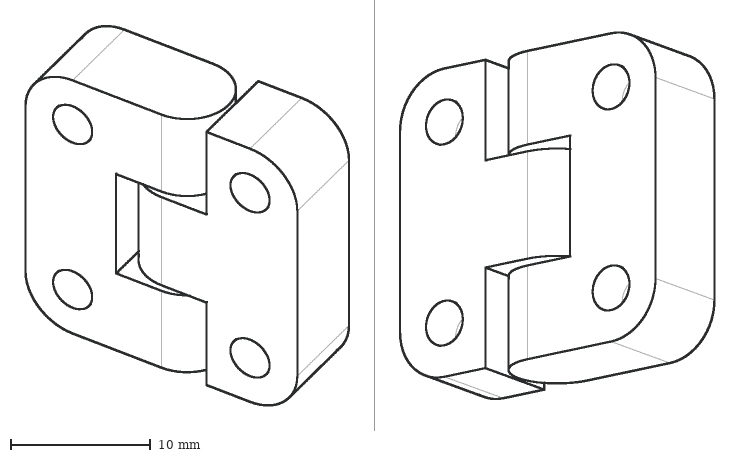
import cadquery as cq

SIZE = 23.0
THICKNESS = 7.0
CORNER_RADIUS = 4.0
KNUCKLE_RADIUS = THICKNESS / 2

HOLE_DIAMETER = 3.31
HOLE_OFFSET = SIZE / 2 - CORNER_RADIUS

CENTRE_KNUCKLE_HEIGHT = 8.0
AXIAL_GAP = 0.5
RADIAL_GAP = 0.32
PIN_DIAMETER = 3.0

SLOT_HEIGHT = CENTRE_KNUCKLE_HEIGHT + 2 * AXIAL_GAP
CLEARANCE_REACH = KNUCKLE_RADIUS + RADIAL_GAP


def block(x_start, x_end, height):
    """Full-thickness block between two X positions, centred in Y and Z."""
    return (
        cq.Workplane("XY")
        .box(x_end - x_start, THICKNESS, height)
        .translate(((x_start + x_end) / 2, 0, 0))
    )


def cylinder(radius, height):
    """Cylinder on the hinge axis, centred in Z."""
    return cq.Workplane("XY").circle(radius).extrude(height / 2, both=True)


def screw_holes(x):
    """Cutters for the two screw holes of one leaf."""
    return (
        cq.Workplane("XZ")
        .pushPoints([(x, -HOLE_OFFSET), (x, HOLE_OFFSET)])
        .circle(HOLE_DIAMETER / 2)
        .extrude(THICKNESS, both=True)
    )


def make_pin_leaf():
    """Left leaf: two outer knuckles joined by the fixed pin."""
    plate = block(-SIZE / 2, 0, SIZE).edges("|Y and <X").fillet(CORNER_RADIUS)
    leaf = plate.union(cylinder(KNUCKLE_RADIUS, SIZE))
    slot = block(-CLEARANCE_REACH, CLEARANCE_REACH, SLOT_HEIGHT)
    leaf = leaf.cut(slot).cut(screw_holes(-HOLE_OFFSET))
    return leaf.union(cylinder(PIN_DIAMETER / 2, SLOT_HEIGHT))


def make_bored_leaf():
    """Right leaf: one centre knuckle bored to turn on the pin."""
    plate = block(CLEARANCE_REACH, SIZE / 2, SIZE).edges("|Y and >X").fillet(CORNER_RADIUS)
    arm = block(0, CLEARANCE_REACH, CENTRE_KNUCKLE_HEIGHT)
    knuckle = cylinder(KNUCKLE_RADIUS, CENTRE_KNUCKLE_HEIGHT)
    leaf = plate.union(arm).union(knuckle)
    bore = cylinder(PIN_DIAMETER / 2, CENTRE_KNUCKLE_HEIGHT)
    return leaf.cut(bore).cut(screw_holes(HOLE_OFFSET))


pin_leaf = make_pin_leaf()
bored_leaf = make_bored_leaf()

result = cq.Compound.makeCompound([pin_leaf.val(), bored_leaf.val()])